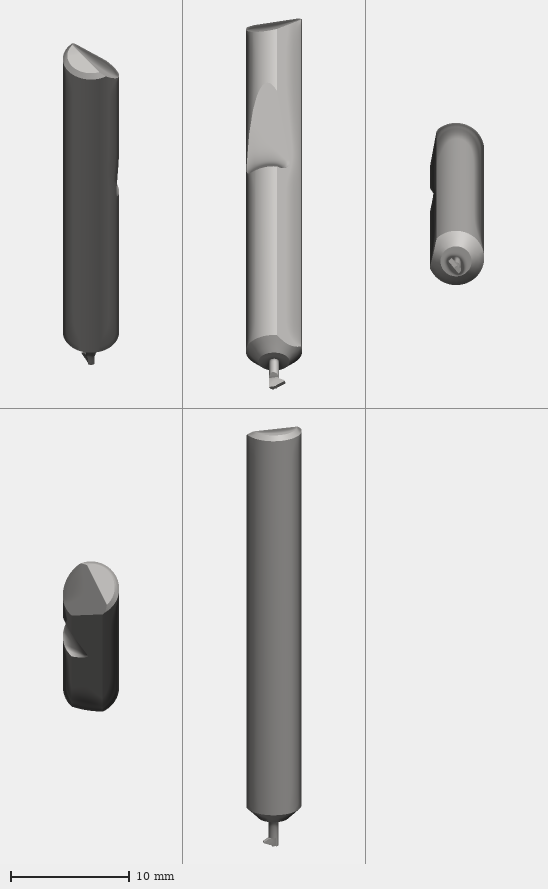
import cadquery as cq
import math

length = 38.1
shank_radius = 2.38
top_chamfer = 0.4
nose_height = 2.6
nose_chamfer = 1.05
bevel_drop = 2.95
flat_distance = 2.0
flat_direction = 144.5

notch_bottom = 21.1
notch_top = 29.8
notch_angle = 9.7
notch_fillet = 1.05

neck_radius = 0.42
neck_overlap = 0.4
rake_y = 0.057
rake_height = 0.9
rake_runout = 0.3
tooth_front_y = -0.3
tooth_top = 0.75
tooth_inner_x = 0.1
tooth_foot_x = -0.2
tooth_foot_height = 0.08
tip_x = -0.9
tip_height = 0.42
tip_half_width = 0.057

margin = 1.9
reach = shank_radius + margin


def extrude_along_x(profile, half_width):
    """Extrude a YZ outline symmetrically about X = 0."""
    return profile.close().extrude(half_width, both=True)


def make_shank():
    shank = (
        cq.Workplane("XY").workplane(offset=nose_height)
        .circle(shank_radius).extrude(length - nose_height)
    )
    shank = shank.faces(">Z").chamfer(top_chamfer)
    return shank.faces("<Z").chamfer(nose_chamfer)


def make_flat_cutter():
    return (
        cq.Workplane("XY")
        .box(margin, 2 * reach, length, centered=(False, True, False))
        .translate((flat_distance, 0, 0))
        .rotate((0, 0, 0), (0, 0, 1), flat_direction)
    )


def make_bevel_cutter():
    profile = (
        cq.Workplane("YZ")
        .moveTo(shank_radius + margin, length - bevel_drop - margin)
        .lineTo(shank_radius - bevel_drop - margin, length + margin)
        .lineTo(shank_radius + margin, length + margin)
    )
    return extrude_along_x(profile, reach)


def make_notch_cutter():
    slope = math.tan(math.radians(notch_angle))
    inner_y = shank_radius - (notch_top - notch_bottom) * slope
    outer_y = shank_radius + margin * slope
    profile = (
        cq.Workplane("YZ")
        .moveTo(inner_y, notch_bottom)
        .lineTo(outer_y, notch_top + margin)
        .lineTo(outer_y, notch_bottom)
    )
    cutter = extrude_along_x(profile, reach)
    return cutter.edges("|X").edges("<Y").fillet(notch_fillet)


def make_neck():
    neck = cq.Workplane("XY").circle(neck_radius).extrude(nose_height + neck_overlap)
    outer_y = rake_y + margin
    rake_relief = extrude_along_x(
        cq.Workplane("YZ")
        .moveTo(rake_y, -margin)
        .lineTo(rake_y, rake_height)
        .lineTo(neck_radius, rake_height + rake_runout)
        .lineTo(outer_y, rake_height + rake_runout)
        .lineTo(outer_y, -margin),
        margin,
    )
    tooth_clearance = cq.Workplane("XY").box(
        margin, 2 * margin, tooth_top, centered=(False, True, False)
    ).translate((tooth_inner_x - margin, 0, 0))
    return neck.cut(rake_relief).cut(tooth_clearance)


def make_tooth():
    return (
        cq.Workplane("XZ", origin=(0, rake_y, 0))
        .moveTo(tooth_inner_x, 0)
        .lineTo(tooth_foot_x, 0)
        .lineTo(tooth_foot_x, tooth_foot_height)
        .lineTo(tip_x, tip_height - tip_half_width)
        .lineTo(tip_x, tip_height + tip_half_width)
        .lineTo(-neck_radius, tooth_top)
        .lineTo(tooth_inner_x, tooth_top)
        .close()
        .extrude(rake_y - tooth_front_y)
    )


shank = make_shank().cut(make_flat_cutter()).cut(make_bevel_cutter()).cut(make_notch_cutter())
result = shank.union(make_neck()).union(make_tooth())